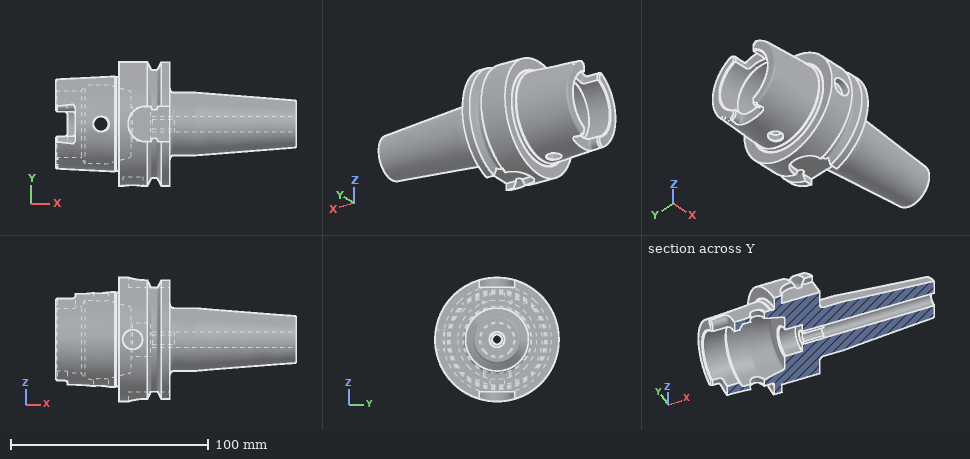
import cadquery as cq
import math


total_length = 122.0
shank_length = 32.1
flange_width = 25.9
flange_end = shank_length + flange_width

shank_tip_radius = 22.7
shank_taper = 1 / 20
shank_taper_length = 29.9
shank_tip_fillet = 1.2

relief_radius = 23.9
relief_start = 30.6
relief_fillet = 0.9
relief_face_depth = 0.2
relief_outer_radius = 25.4

flange_radius = 31.5
grip_groove_x = 50.0
grip_groove_radius = 27.5
grip_rim_half_width = 3.5
grip_floor_half_width = 1.5
grip_groove_fillet = 1.0

flange_slot_half_width = 9.0
flange_slot_arc_x = 45.8
flange_slot_floor = 26.5

chip_hole_x = 39.0
chip_hole_radius = 5.0
chip_hole_depth = 4.6

neck_radius = 16.0
neck_fillet = 2.1
nose_start = 71.0
nose_angle = 4.5
nose_fillet = 1.0

mouth_radius = 17.0
mouth_chamfer = 0.5
mouth_length = 12.9
clamp_radius = 20.0
clamp_cone_angle = 60
clamp_length = 26.0
end_cone_angle = 15
cavity_floor_radius = 15.6
cavity_fillet = 1.5
end_corner_radius = cavity_floor_radius + cavity_fillet * math.tan(math.radians(45 - end_cone_angle / 2))
end_cone_length = (clamp_radius - end_corner_radius) / math.tan(math.radians(end_cone_angle))
cavity_depth = clamp_length + end_cone_length

tube_hole_radius = 8.4
tube_hole_chamfer = 0.6
tube_hole_depth = 9.8
tube_hole_floor = cavity_depth + tube_hole_depth

screw_radius = 3.9
screw_length = 12.2
screw_bore_radius = 2.5
screw_countersink = 1.1

cross_hole_x = 22.9
cross_hole_radius = 3.8
cross_hole_chamfer = 0.4

keyway_half_width = 6.2
keyway_wall_top = 17.6
keyway_shoulder_radius = 3.3
keyway_bottom = 12.2
keyway_end_fillet = 1.6
keyway_mouth_chamfer = 0.9
upper_keyway_depth = 10.0
lower_keyway_depth = 6.0

clearance = 36.6


def holder_blank():
    """Solid of revolution of the outside of the holder."""
    taper_end_radius = shank_tip_radius + shank_taper * shank_taper_length
    relief_end = shank_length + relief_face_depth
    arc_mid = relief_fillet * math.sin(math.radians(45))
    nose_tip_radius = neck_radius - (total_length - nose_start) * math.tan(math.radians(nose_angle))
    outline = (
        cq.Workplane("XY")
        .moveTo(0, 0)
        .lineTo(0, shank_tip_radius)
        .lineTo(shank_taper_length, taper_end_radius)
        .lineTo(relief_start, relief_radius)
        .lineTo(relief_end - relief_fillet, relief_radius)
        .threePointArc(
            (relief_end - relief_fillet + arc_mid, relief_radius + relief_fillet - arc_mid),
            (relief_end, relief_radius + relief_fillet),
        )
        .lineTo(shank_length, relief_outer_radius)
        .lineTo(shank_length, flange_radius)
        .lineTo(flange_end, flange_radius)
        .lineTo(flange_end, neck_radius)
        .lineTo(nose_start, neck_radius)
        .lineTo(total_length, nose_tip_radius)
        .lineTo(total_length, 0)
        .close()
    )
    blank = outline.revolve(360, (0, 0, 0), (1, 0, 0))
    blank = blank.faces("<X").edges().fillet(shank_tip_fillet)
    blank = blank.faces(">X").edges().fillet(nose_fillet)
    neck_root = cq.selectors.RadiusNthSelector(0)
    flange_back = blank.faces(cq.selectors.NearestToPointSelector((flange_end, flange_radius, 0)))
    return flange_back.edges(neck_root).fillet(neck_fillet)


def grip_groove():
    """Ring with a trapezoid section and rounded floor corners."""
    rim_reach = 1.2
    wall_slope = (grip_rim_half_width - grip_floor_half_width) / (flange_radius - grip_groove_radius)
    top_half_width = grip_rim_half_width + wall_slope * rim_reach
    ring = (
        cq.Workplane("XY")
        .moveTo(grip_groove_x - grip_floor_half_width, grip_groove_radius)
        .lineTo(grip_groove_x + grip_floor_half_width, grip_groove_radius)
        .lineTo(grip_groove_x + top_half_width, flange_radius + rim_reach)
        .lineTo(grip_groove_x - top_half_width, flange_radius + rim_reach)
        .close()
        .revolve(360, (0, 0, 0), (1, 0, 0))
    )
    return ring.edges(cq.selectors.RadiusNthSelector(0)).fillet(grip_groove_fillet)


def flange_slot():
    """Round-ended slot with a flat floor, open at the back of the flange."""
    slot_length = clearance
    arc_end = cq.Workplane("XY").center(flange_slot_arc_x, 0).circle(flange_slot_half_width)
    straight = cq.Workplane("XY").center(flange_slot_arc_x + slot_length / 2, 0)
    straight = straight.rect(slot_length, 2 * flange_slot_half_width)
    slot = arc_end.extrude(clearance).union(straight.extrude(clearance))
    return slot.translate((0, 0, flange_slot_floor))


def chip_hole():
    """Blind radial hole in the -Y side of the flange."""
    hole = cq.Workplane("XZ", origin=(chip_hole_x, chip_hole_depth - flange_radius, 0))
    return hole.circle(chip_hole_radius).extrude(clearance)


def cavity():
    """Stepped bore: clamping cavity, coolant tube hole and the through bore for the screw."""
    cone_length = (clamp_radius - mouth_radius) / math.tan(math.radians(clamp_cone_angle))
    end_angle = math.radians(end_cone_angle)
    arc_centre_x = cavity_depth - cavity_fillet
    mid_angle = (math.pi / 2 - end_angle) / 2
    arc_mid = (
        arc_centre_x + cavity_fillet * math.cos(mid_angle),
        cavity_floor_radius + cavity_fillet * math.sin(mid_angle),
    )
    arc_start = (
        arc_centre_x + cavity_fillet * math.sin(end_angle),
        cavity_floor_radius + cavity_fillet * math.cos(end_angle),
    )
    outline = (
        cq.Workplane("XY")
        .moveTo(0, 0)
        .lineTo(0, mouth_radius + mouth_chamfer)
        .lineTo(mouth_chamfer, mouth_radius)
        .lineTo(mouth_length, mouth_radius)
        .lineTo(mouth_length + cone_length, clamp_radius)
        .lineTo(clamp_length, clamp_radius)
        .lineTo(*arc_start)
        .threePointArc(arc_mid, (cavity_depth, cavity_floor_radius))
        .lineTo(cavity_depth, tube_hole_radius + tube_hole_chamfer)
        .lineTo(cavity_depth + tube_hole_chamfer, tube_hole_radius)
        .lineTo(tube_hole_floor, tube_hole_radius)
        .lineTo(tube_hole_floor, screw_radius)
        .lineTo(total_length, screw_radius)
        .lineTo(total_length, 0)
        .close()
    )
    return outline.revolve(360, (0, 0, 0), (1, 0, 0))


def keyway_outline(x, growth):
    """Closed keyway section at a given X, with its walls moved outward by growth."""
    half_width = keyway_half_width + growth
    radius = keyway_shoulder_radius - growth
    shelf = keyway_wall_top + radius
    arc_offset = radius * math.sin(math.radians(45))
    arc_y = half_width + radius - arc_offset
    arc_z = keyway_wall_top + arc_offset
    return (
        cq.Workplane("YZ", origin=(x, 0, 0))
        .moveTo(-half_width, keyway_bottom)
        .lineTo(half_width, keyway_bottom)
        .lineTo(half_width, keyway_wall_top)
        .threePointArc((arc_y, arc_z), (half_width + radius, shelf))
        .lineTo(clearance, shelf)
        .lineTo(clearance, clearance)
        .lineTo(-clearance, clearance)
        .lineTo(-clearance, shelf)
        .lineTo(-half_width - radius, shelf)
        .threePointArc((-arc_y, arc_z), (-half_width, keyway_wall_top))
        .close()
    )


def keyway(depth):
    """Drive keyway with a rounded end and a chamfered mouth, on the +Z side."""
    slot = keyway_outline(0, 0).extrude(depth)
    slot = slot.faces(">X").edges().fillet(keyway_end_fillet)
    mouth_wires = [
        keyway_outline(0, keyway_mouth_chamfer).val(),
        keyway_outline(keyway_mouth_chamfer, 0).val(),
    ]
    mouth = cq.Solid.makeLoft(mouth_wires, True)
    return slot.union(cq.Workplane(mouth))


def cross_hole():
    """Radial hole through the +Z shank wall, countersunk at the outer surface."""
    surface = shank_tip_radius + shank_taper * cross_hole_x
    sink_radius = cross_hole_radius + cross_hole_chamfer
    drill = cq.Workplane("XY").center(cross_hole_x, 0).circle(cross_hole_radius).extrude(clearance)
    sink = cq.Solid.makeCone(
        cross_hole_radius,
        sink_radius,
        cross_hole_chamfer,
        cq.Vector(cross_hole_x, 0, surface - cross_hole_chamfer),
    )
    return drill.union(cq.Workplane(sink))


def opposite(cutter):
    """The same cutter on the -Z side."""
    return cutter.rotate((0, 0, 0), (1, 0, 0), 180)


def make_holder():
    """Tool holder with its slots, groove, bores and keyways."""
    holder = holder_blank()
    holder = holder.cut(flange_slot()).cut(opposite(flange_slot()))
    holder = holder.cut(grip_groove()).cut(cavity())
    holder = holder.cut(chip_hole())
    holder = holder.cut(cross_hole()).cut(opposite(cross_hole()))
    return holder.cut(keyway(upper_keyway_depth)).cut(opposite(keyway(lower_keyway_depth)))


def make_stop_screw():
    """Hollow stop screw, flush with the floor of the coolant tube hole."""
    screw = cq.Workplane("YZ", origin=(tube_hole_floor, 0, 0)).circle(screw_radius)
    screw = screw.circle(screw_bore_radius).extrude(screw_length)
    bore_rim = cq.selectors.RadiusNthSelector(0)
    return screw.faces("<X").edges(bore_rim).chamfer(screw_countersink)


holder = make_holder()
stop_screw = make_stop_screw()
result = cq.Compound.makeCompound([holder.val(), stop_screw.val()])